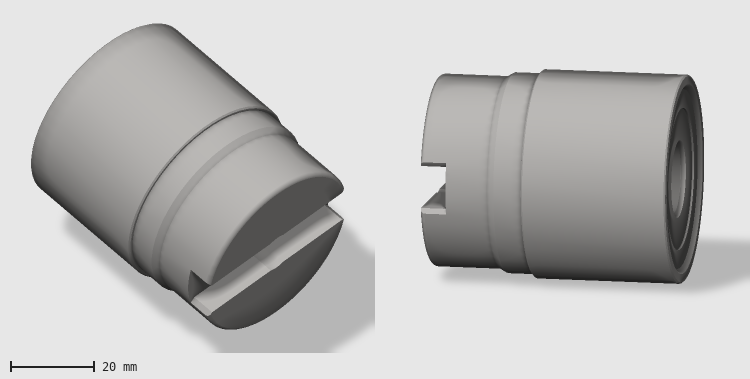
import cadquery as cq
import math

length = 60.0
barrel_end = 35.1
collar_end = 41.9
nose_start = 43.7

barrel_radius = 50.0 / 2
collar_radius = 48.0 / 2
nose_radius = 46.0 / 2
barrel_chamfer = 0.35
nose_edge_length = 1.1
nose_edge_drop = 0.9
nose_edge_radius = 1.2

recess_mouth_radius = 22.7
recess_floor_radius = 21.5
recess_depth = 1.0
center_recess_radius = 34.0 / 2
center_recess_depth = 0.5

bore_radius = 16.5 / 2
bore_chamfer = 1.0
shelf_x = 12.8
through_radius = 11.0 / 2

slot_width = 10.2
slot_depth = 6.3
slot_chamfer = 1.15


def make_body():
    """Turn the outside profile around the X axis."""
    outline = (
        cq.Workplane("XY")
        .lineTo(0, barrel_radius - barrel_chamfer)
        .lineTo(barrel_chamfer, barrel_radius)
        .lineTo(barrel_end - barrel_chamfer, barrel_radius)
        .lineTo(barrel_end, barrel_radius - barrel_chamfer)
        .lineTo(barrel_end, collar_radius)
        .lineTo(collar_end, collar_radius)
        .lineTo(nose_start, nose_radius)
        .lineTo(length - nose_edge_length, nose_radius)
        .radiusArc((length, nose_radius - nose_edge_drop), nose_edge_radius)
        .lineTo(length, 0)
        .close()
    )
    return outline.revolve(360, (0, 0, 0), (1, 0, 0))


def make_hollow():
    """Turn the face recess and stepped bore as one cutter."""
    center_floor = recess_depth + center_recess_depth
    outline = (
        cq.Workplane("XY")
        .lineTo(0, recess_mouth_radius)
        .lineTo(recess_depth, recess_floor_radius)
        .lineTo(recess_depth, center_recess_radius)
        .lineTo(center_floor, center_recess_radius)
        .lineTo(center_floor, bore_radius + bore_chamfer)
        .lineTo(center_floor + bore_chamfer, bore_radius)
        .lineTo(shelf_x, bore_radius)
        .lineTo(shelf_x, through_radius)
        .lineTo(length, through_radius)
        .lineTo(length, 0)
        .close()
    )
    return outline.revolve(360, (0, 0, 0), (1, 0, 0))


def make_slot():
    """Slot across the nose along Y, its side edges chamfered where they meet the outside."""
    half_width = slot_width / 2
    mouth_y = math.sqrt(nose_radius**2 - (half_width + slot_chamfer) ** 2)
    chamfer_start_y = mouth_y - slot_chamfer
    reach_y = barrel_radius
    mouth_half_width = half_width + reach_y - chamfer_start_y
    upper_half = (
        cq.Workplane("YZ", origin=(length - slot_depth, 0, 0))
        .moveTo(-reach_y, 0)
        .lineTo(-reach_y, mouth_half_width)
        .lineTo(-chamfer_start_y, half_width)
        .lineTo(chamfer_start_y, half_width)
        .lineTo(reach_y, mouth_half_width)
        .lineTo(reach_y, 0)
        .close()
        .extrude(slot_depth)
    )
    return upper_half.union(upper_half.mirror("XY"))


result = make_body().cut(make_hollow()).cut(make_slot())